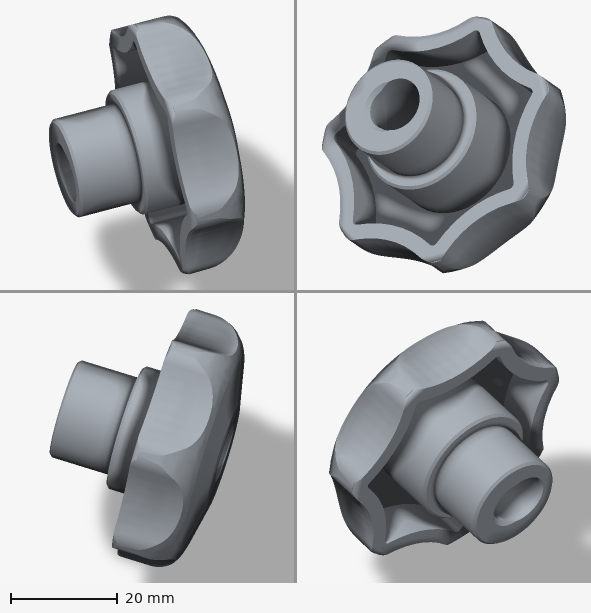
import cadquery as cq
import math


LOBES = 7
GRIP_RADIUS = 25.0
LOBE_TIP_RADIUS = 4.0
SCALLOP_RADIUS = 20.0
WALL = 3.0

GRIP_HEIGHT = 14.2
CROWN_FLAT_RADIUS = 10.3
CROWN_SLOPE = math.radians(12.8)
SHOULDER_FILLET = 7.65
RIM_FILLET = 1.0
RIM_RADIUS = 24.83
SIDE_DRAFT = math.radians(1.0)
TIP_TRIM = 0.004
CAVITY_DEPTH = 8.2
CUT_MARGIN = 5.0

BOSS_DIAMETER = 24.0
BOSS_LENGTH = 5.0
HUB_DIAMETER = 19.0
HUB_LENGTH = 12.0
HUB_CHAMFER = 0.5

THREAD_DIAMETER = 10.0
CORE_DIAMETER = 8.4
CLEARANCE_DIAMETER = 10.3
CLEARANCE_TILT = 6.5

HUB_END = -(BOSS_LENGTH + HUB_LENGTH)
BODY_LENGTH = GRIP_HEIGHT - HUB_END
BODY_MIDDLE = (GRIP_HEIGHT + HUB_END) / 2
PITCH = 2 * math.pi / LOBES
TIP_CENTRE = GRIP_RADIUS - LOBE_TIP_RADIUS
SCALLOP_CENTRE = TIP_CENTRE * math.cos(PITCH / 2) + math.sqrt(
    (SCALLOP_RADIUS + LOBE_TIP_RADIUS) ** 2 - (TIP_CENTRE * math.sin(PITCH / 2)) ** 2
)


def polar(radius, angle):
    """Point in the XZ plane, with the angle measured from -Z towards +X."""
    return (radius * math.sin(angle), -radius * math.cos(angle))


def point_towards(start, end, distance):
    """Point at a given distance from start on the line to end."""
    share = distance / math.dist(start, end)
    return tuple(a + (b - a) * share for a, b in zip(start, end))


def tip_tangent(tip_radius, tip_angle, scallop_angle):
    """Point where a lobe tip arc runs smoothly into the neighbouring scallop arc."""
    return point_towards(polar(TIP_CENTRE, tip_angle), polar(SCALLOP_CENTRE, scallop_angle), tip_radius)


def lobe_to_lobe(outline, inset, lobe):
    """Continue an outline from one lobe tip through a scallop to the next lobe tip."""
    tip_radius = LOBE_TIP_RADIUS - inset
    scallop_radius = SCALLOP_RADIUS + inset
    start_angle = lobe * PITCH
    scallop_angle = start_angle + PITCH / 2
    end_angle = start_angle + PITCH
    return (
        outline.radiusArc(tip_tangent(tip_radius, start_angle, scallop_angle), -tip_radius)
        .radiusArc(tip_tangent(tip_radius, end_angle, scallop_angle), scallop_radius)
        .radiusArc(polar(TIP_CENTRE + tip_radius, end_angle), -tip_radius)
    )


def scallop_cutter(lobe):
    """Everything outside the star between two neighbouring lobe tips."""
    start_angle = lobe * PITCH
    end_angle = start_angle + PITCH
    outline = cq.Workplane("XZ", origin=(0, -CUT_MARGIN, 0)).moveTo(*polar(GRIP_RADIUS, start_angle))
    outline = lobe_to_lobe(outline, 0, lobe)
    outline = outline.lineTo(*polar(GRIP_RADIUS + CUT_MARGIN, end_angle))
    outline = outline.lineTo(*polar(GRIP_RADIUS + CUT_MARGIN, start_angle))
    return outline.close().extrude(-(GRIP_HEIGHT + 2 * CUT_MARGIN))


def cavity():
    """Star-shaped pocket that leaves an even wall and opens at the rim."""
    outline = cq.Workplane("XZ").moveTo(*polar(GRIP_RADIUS - WALL, 0))
    for lobe in range(LOBES):
        outline = lobe_to_lobe(outline, WALL, lobe)
    return outline.close().extrude(-CAVITY_DEPTH)


def cylinder(diameter, start, end):
    """Cylinder on the grip axis between two Y levels."""
    return cq.Workplane("XZ", origin=(0, start, 0)).circle(diameter / 2).extrude(start - end)


def crown_envelope():
    """Turned shape that rounds the shoulder and the rim of the star."""
    side_radius = GRIP_RADIUS - TIP_TRIM
    side_start = side_radius + RIM_FILLET * math.tan(SIDE_DRAFT)
    crown_apex = GRIP_HEIGHT + CROWN_FLAT_RADIUS * math.tan(CROWN_SLOPE)
    corner_radius = (side_start - crown_apex * math.tan(SIDE_DRAFT)) / (
        1 - math.tan(CROWN_SLOPE) * math.tan(SIDE_DRAFT)
    )
    corner_height = crown_apex - corner_radius * math.tan(CROWN_SLOPE)
    envelope = (
        cq.Workplane("XY")
        .lineTo(RIM_RADIUS - RIM_FILLET, 0)
        .radiusArc((RIM_RADIUS, RIM_FILLET), -RIM_FILLET)
        .lineTo(side_radius, RIM_FILLET)
        .lineTo(corner_radius, corner_height)
        .lineTo(CROWN_FLAT_RADIUS, GRIP_HEIGHT)
        .lineTo(0, GRIP_HEIGHT)
        .close()
        .revolve(360, (0, 0, 0), (0, 1, 0))
    )
    shoulder = cq.selectors.BoxSelector(
        (-2 * GRIP_RADIUS, corner_height - RIM_FILLET, -2 * GRIP_RADIUS),
        (2 * GRIP_RADIUS, corner_height + RIM_FILLET, 2 * GRIP_RADIUS),
    )
    return envelope.edges(shoulder).edges("%CIRCLE").fillet(SHOULDER_FILLET)


def hub():
    """Boss and hub, each with a chamfered end."""
    boss = cylinder(BOSS_DIAMETER, CAVITY_DEPTH, -BOSS_LENGTH).faces("<Y").chamfer(HUB_CHAMFER)
    shaft = cylinder(HUB_DIAMETER, 0, HUB_END).faces("<Y").chamfer(HUB_CHAMFER)
    return boss.union(shaft)


def thread_bore():
    """Axial core bore, countersunk at both ends to the thread diameter."""
    countersink = (THREAD_DIAMETER - CORE_DIAMETER) / 2
    core = CORE_DIAMETER / 2
    return (
        cq.Workplane("XY")
        .polyline([
            (0, HUB_END),
            (core + countersink, HUB_END),
            (core, HUB_END + countersink),
            (core, GRIP_HEIGHT - countersink),
            (core + countersink, GRIP_HEIGHT),
            (0, GRIP_HEIGHT),
        ])
        .close()
        .revolve(360, (0, 0, 0), (0, 1, 0))
    )


def clearance_bore():
    """Tilted through bore that crosses the grip axis at mid length."""
    bore = cylinder(CLEARANCE_DIAMETER, BODY_MIDDLE - BODY_LENGTH, BODY_MIDDLE + BODY_LENGTH)
    return bore.rotate((0, BODY_MIDDLE, 0), (0, BODY_MIDDLE, 1), CLEARANCE_TILT)


grip = crown_envelope()
for lobe_number in range(LOBES):
    grip = grip.cut(scallop_cutter(lobe_number))
grip = grip.cut(cavity())
result = grip.union(hub()).cut(thread_bore()).cut(clearance_bore())